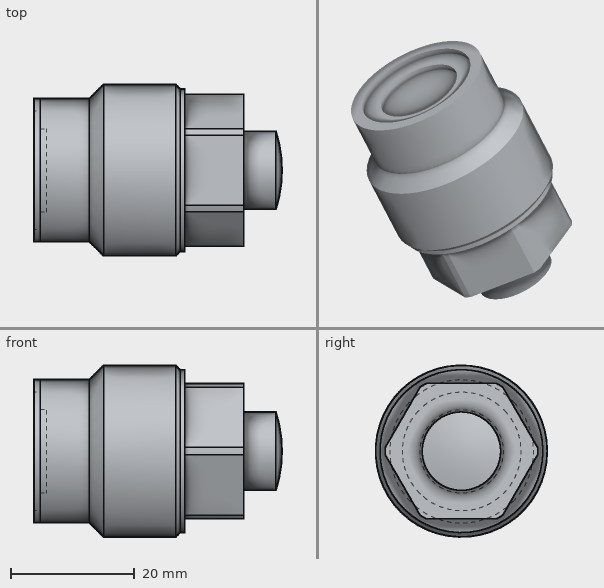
import cadquery as cq
import math


ring_thickness = 1.0
ring_bore_radius = 9.6

spigot_radius = 11.62
spigot_end = 9.0
barrel_radius = 13.9
lip_radius = 13.2
cone_end = spigot_end + barrel_radius - spigot_radius
barrel_end = 22.95
lip_start = barrel_end + barrel_radius - lip_radius
lip_end = 24.45

hex_across_flats = 21.95
hex_corner_radius = 12.35
hex_end = 34.0

stem_radius = 6.35
dome_start = 39.2
stem_end = 40.2

recess_radius = 6.75
recess_depth = 1.0


def cylinder(radius, start, end):
    return cq.Workplane("YZ", origin=(start, 0, 0)).circle(radius).extrude(end - start)


def make_barrel():
    """Spigot, cone, barrel and lip, turned as one profile."""
    profile = (
        cq.Workplane("XY")
        .moveTo(ring_thickness, 0)
        .lineTo(ring_thickness, spigot_radius)
        .lineTo(spigot_end, spigot_radius)
        .lineTo(cone_end, barrel_radius)
        .lineTo(barrel_end, barrel_radius)
        .lineTo(lip_start, lip_radius)
        .lineTo(lip_end, lip_radius)
        .lineTo(lip_end, 0)
        .close()
    )
    return profile.revolve(360, (0, 0, 0), (1, 0, 0))


def make_hexagon():
    """Hexagon with corners on the Y axis, trimmed by a cylinder."""
    hex_across_corners = hex_across_flats / math.cos(math.radians(30))
    prism = (
        cq.Workplane("YZ", origin=(lip_end, 0, 0))
        .polygon(6, hex_across_corners)
        .extrude(hex_end - lip_end)
    )
    return prism.intersect(cylinder(hex_corner_radius, lip_end, hex_end))


def make_stem():
    """Stem with a spherical dome at its tip."""
    dome_height = stem_end - dome_start
    dome_radius = (stem_radius**2 + dome_height**2) / (2 * dome_height)
    dome_centre = stem_end - dome_radius
    half_angle = math.asin(stem_radius / dome_radius) / 2
    dome_middle = (
        dome_centre + dome_radius * math.cos(half_angle),
        dome_radius * math.sin(half_angle),
    )
    profile = (
        cq.Workplane("XY")
        .moveTo(hex_end, 0)
        .lineTo(hex_end, stem_radius)
        .lineTo(dome_start, stem_radius)
        .threePointArc(dome_middle, (stem_end, 0))
        .close()
    )
    return profile.revolve(360, (0, 0, 0), (1, 0, 0))


def make_housing():
    recess = cylinder(recess_radius, ring_thickness, ring_thickness + recess_depth)
    return make_barrel().union(make_hexagon()).union(make_stem()).cut(recess)


def make_ring():
    """Flat ring that lies against the spigot face."""
    return cylinder(spigot_radius, 0, ring_thickness).cut(cylinder(ring_bore_radius, 0, ring_thickness))


housing = make_housing()
ring = make_ring()

result = cq.Compound.makeCompound([housing.val(), ring.val()])